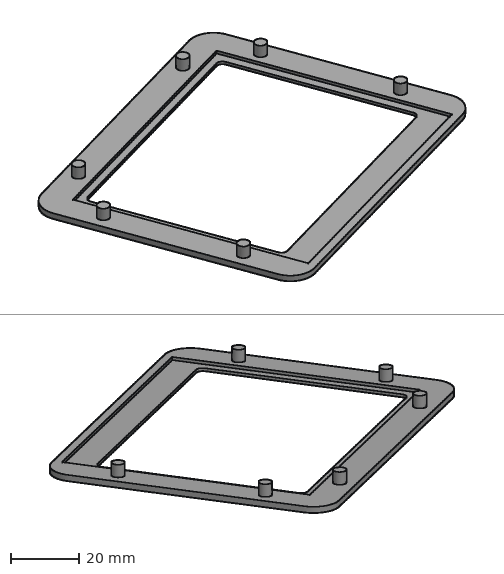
import cadquery as cq

frame_width = 90.0
frame_length = 111.4
frame_thickness = 2.0
corner_radius = 8.0

recess_width = 77.5
recess_length = 92.7
recess_depth = 1.0
recess_offset_x = 3.5

window_width = 65.7
window_length = 86.9
window_corner_radius = 2.0

pin_diameter = 4.0
pin_height = 4.0
pin_edge_distance = 5.0
end_pin_spacing = 46.1
side_pin_spacing = 67.3


def make_plate():
    """Rounded plate with its underside at Z = 0."""
    plate = cq.Workplane("XY").rect(frame_width, frame_length).extrude(frame_thickness)
    return plate.edges("|Z").fillet(corner_radius)


def make_recess():
    """Sharp-cornered pocket volume reaching down from the top face."""
    floor = cq.Workplane("XY").workplane(offset=frame_thickness - recess_depth)
    return floor.center(recess_offset_x, 0).rect(recess_width, recess_length).extrude(recess_depth)


def make_window():
    """Opening with rounded corners through the full plate."""
    window = cq.Workplane("XY").rect(window_width, window_length).extrude(frame_thickness)
    return window.edges("|Z").fillet(window_corner_radius)


def make_pins():
    """Two pins on each end border and two on the -X border."""
    end_y = frame_length / 2 - pin_edge_distance
    side_x = -frame_width / 2 + pin_edge_distance
    positions = []
    for side in (-1, 1):
        positions.append((-end_pin_spacing / 2, side * end_y))
        positions.append((end_pin_spacing / 2, side * end_y))
        positions.append((side_x, side * side_pin_spacing / 2))
    pins = cq.Workplane("XY").pushPoints(positions).circle(pin_diameter / 2)
    return pins.extrude(frame_thickness + pin_height)


result = make_plate().cut(make_recess()).cut(make_window()).union(make_pins())